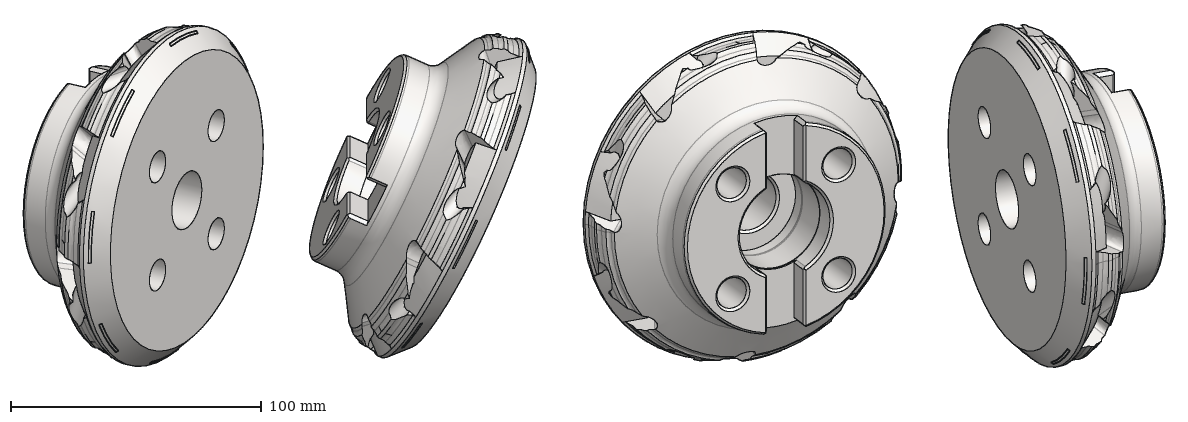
import cadquery as cq
import math

LENGTH = 50.2
RIM_RADIUS = 69.3
HUB_RADIUS = 90.0 / 2
HUB_CHAMFER = 1.0
HUB_TAPER_END = 1.8
HUB_TAPER_DROP = 0.21
HUB_LENGTH = 10.8
NECK_FILLET = 7.8
CONE_ANGLE = math.radians(58)
RIM_START = 40.5
RIM_END = 42.3

RIDGES = [
    (26.5, 63.2, 0),
    (27.6, 64.0, 0),
    (29.0, 65.7, 0.4),
    (30.9, 66.7, 0),
    (32.8, 67.9, 0.3),
    (34.5, 68.0, 0),
    (37.0, 68.0, 0.3),
    (39.2, 68.3, 0),
]

BORE_DIAMETER = 24.0
SEAT_DIAMETER = 40.0
SEAT_ENTRY_DIAMETER = 40.3
SEAT_ENTRY_DEPTH = 10.0
SEAT_DEPTH = 25.2
RELIEF_DIAMETER = 40.3
RELIEF_TAPER = 1.1
RELIEF_END = 31.9
BOLT_DIAMETER = 13.0
BOLT_OFFSET = 23.5
HOLE_CHAMFER = 1.04
SLOT_WIDTH = 16.2
SLOT_DEPTH = 9.0
SLOT_CHAMFER = 1.0
OUTER_CORNER_CHAMFER = 1.8
INNER_CORNER_CHAMFER = 0.5

POCKET_COUNT = 8
FLOOR_START = 32.8
POCKET_PLANE = 27.7
POCKET_START = 22.2
POCKET_TOP = 90.1
POCKET_SLANT_T = 0.36
POCKET_SLANT_R = -1.0

WALL_T = 0.8
CORNER_RADIUS = 4.3
CORNER_R = 62.4
CORNER_END_ANGLE = math.radians(-22)
RAMP_START = (10.8, 62.1)
RAMP_SLOPE = 0.85

SCALLOP_RADIUS = 3.7
SCALLOP_CENTRE = (33.5, 30.5, 60.4)
SCALLOP_DIRECTION = (-1.4, 4.1, 0)
SCALLOP_REACH = 16.6

WINDOW_START = 35.3
WINDOW_T = 19.4
WINDOW_BOTTOM = 52.7
WINDOW_END = (29.8, 56.8)
WINDOW_END_SLOPE = 1.0
WINDOW_SLANT_R = 1.1

RIB_START = 43.8
RIB_END = 44.6
RIB_HEIGHT = 0.35
RIB_ROOT = 1.4
RIB_FIRST_ANGLE = 29.0
RIB_SWEEP = 18.5


def local_point(x, t, r):
    """Point or direction given in the local axes of the first pocket."""
    return cq.Vector(x, -t, r)


def revolve_about_x(sketch, angle=360.0):
    return sketch.close().revolve(angle, (0, 0, 0), (1, 0, 0))


def turned_body():
    taper_radius = HUB_RADIUS - HUB_TAPER_DROP
    bend_x = HUB_LENGTH + NECK_FILLET * math.sin(CONE_ANGLE)
    bend_r = HUB_RADIUS + NECK_FILLET * (1 - math.cos(CONE_ANGLE))
    mid_x = HUB_LENGTH + NECK_FILLET * math.sin(CONE_ANGLE / 2)
    mid_r = HUB_RADIUS + NECK_FILLET * (1 - math.cos(CONE_ANGLE / 2))
    outline = (
        cq.Workplane("XY")
        .moveTo(0, 0)
        .lineTo(0, taper_radius - HUB_CHAMFER)
        .lineTo(HUB_CHAMFER, taper_radius)
        .lineTo(HUB_TAPER_END, HUB_RADIUS)
        .lineTo(HUB_LENGTH, HUB_RADIUS)
        .threePointArc((mid_x, mid_r), (bend_x, bend_r))
    )
    last_x, last_radius = bend_x, bend_r
    for x, radius, dish in RIDGES:
        if dish:
            dish_bottom = ((last_x + x) / 2, (last_radius + radius) / 2 - dish)
            outline = outline.threePointArc(dish_bottom, (x, radius))
        else:
            outline = outline.lineTo(x, radius)
        last_x, last_radius = x, radius
    outline = (
        outline.lineTo(RIM_START, RIM_RADIUS)
        .lineTo(RIM_END, RIM_RADIUS)
        .lineTo(LENGTH, RIM_RADIUS - (LENGTH - RIM_END))
        .lineTo(LENGTH, 0)
    )
    return revolve_about_x(outline)


def bore_cutter():
    bore = BORE_DIAMETER / 2
    entry = SEAT_ENTRY_DIAMETER / 2
    seat = SEAT_DIAMETER / 2
    relief = RELIEF_DIAMETER / 2
    outline = (
        cq.Workplane("XY")
        .moveTo(0, 0)
        .lineTo(0, entry + HOLE_CHAMFER)
        .lineTo(HOLE_CHAMFER, entry)
        .lineTo(SEAT_ENTRY_DEPTH, entry)
        .lineTo(SEAT_ENTRY_DEPTH, seat)
        .lineTo(SEAT_DEPTH, seat)
        .lineTo(SEAT_DEPTH + RELIEF_TAPER, relief)
        .lineTo(RELIEF_END, relief)
        .lineTo(RELIEF_END, bore + HOLE_CHAMFER)
        .lineTo(RELIEF_END + HOLE_CHAMFER, bore)
        .lineTo(LENGTH, bore)
        .lineTo(LENGTH, 0)
    )
    return revolve_about_x(outline)


def bolt_hole_cutter():
    radius = BOLT_DIAMETER / 2
    outline = (
        cq.Workplane("XY")
        .moveTo(0, 0)
        .lineTo(0, radius + HOLE_CHAMFER)
        .lineTo(HOLE_CHAMFER, radius)
        .lineTo(LENGTH, radius)
        .lineTo(LENGTH, 0)
    )
    hole = revolve_about_x(outline)
    cutter = cq.Workplane("XY")
    for y in (-BOLT_OFFSET, BOLT_OFFSET):
        for z in (-BOLT_OFFSET, BOLT_OFFSET):
            cutter = cutter.add(hole.translate((0, y, z)))
    return cutter.combine()


def slot_cutter():
    half = SLOT_WIDTH / 2
    slot = (
        cq.Workplane("XY")
        .moveTo(0, half + SLOT_CHAMFER)
        .lineTo(SLOT_CHAMFER, half)
        .lineTo(SLOT_DEPTH, half)
        .lineTo(SLOT_DEPTH, -half)
        .lineTo(SLOT_CHAMFER, -half)
        .lineTo(0, -half - SLOT_CHAMFER)
        .close()
        .extrude(HUB_RADIUS, both=True)
    )
    outer_z = math.sqrt(HUB_RADIUS ** 2 - half ** 2)
    inner_z = math.sqrt((SEAT_ENTRY_DIAMETER / 2) ** 2 - half ** 2)
    for side in (-1, 1):
        slot = slot.union(slot_flare(side * outer_z, side * OUTER_CORNER_CHAMFER))
        slot = slot.union(slot_flare(side * inner_z, -side * INNER_CORNER_CHAMFER))
    return slot


def slot_flare(corner_z, size):
    """Bevel of both slot edges at corner_z, opening in the direction of the sign of size."""
    half = SLOT_WIDTH / 2
    wide = half + 2 * abs(size)
    return (
        cq.Workplane("YZ")
        .moveTo(-half, corner_z - size)
        .lineTo(half, corner_z - size)
        .lineTo(wide, corner_z + size)
        .lineTo(-wide, corner_z + size)
        .close()
        .extrude(SLOT_DEPTH)
    )


def under_floor():
    """Ring of material kept below the conical pocket floor."""
    floor_radius = RIM_RADIUS - (RIM_START - FLOOR_START)
    outline = (
        cq.Workplane("XY")
        .moveTo(FLOOR_START, 0)
        .lineTo(FLOOR_START, floor_radius)
        .lineTo(RIM_START, RIM_RADIUS)
        .lineTo(RIM_START, POCKET_TOP)
        .lineTo(LENGTH, POCKET_TOP)
        .lineTo(LENGTH, 0)
    )
    return revolve_about_x(outline)


def pocket_prism():
    """Prism slanting inwards, with a flat wall, a rounded corner and a ramp."""
    back = POCKET_START - POCKET_PLANE
    depth = RIM_START - POCKET_START
    shift = local_point(POCKET_START, back * POCKET_SLANT_T, back * POCKET_SLANT_R)

    def place(t, r):
        return local_point(0, t, r) + shift

    centre_t = WALL_T + CORNER_RADIUS
    wall_top = place(WALL_T, POCKET_TOP)
    wall_foot = place(WALL_T, CORNER_R)
    corner_bottom = place(centre_t, CORNER_R - CORNER_RADIUS)
    corner_end = place(
        centre_t + CORNER_RADIUS * math.cos(CORNER_END_ANGLE),
        CORNER_R + CORNER_RADIUS * math.sin(CORNER_END_ANGLE),
    )
    ramp_start = place(*RAMP_START)
    ramp_top = place(RAMP_START[0] + (POCKET_TOP - RAMP_START[1]) / RAMP_SLOPE, POCKET_TOP)
    outline = cq.Wire.assembleEdges([
        cq.Edge.makeThreePointArc(wall_foot, corner_bottom, corner_end),
        cq.Edge.makeLine(corner_end, ramp_start),
        cq.Edge.makeLine(ramp_start, ramp_top),
        cq.Edge.makeLine(ramp_top, wall_top),
        cq.Edge.makeLine(wall_top, wall_foot),
    ])
    slant = local_point(depth, depth * POCKET_SLANT_T, depth * POCKET_SLANT_R)
    return cq.Workplane(cq.Solid.extrudeLinear(outline, [], slant))


def scallop():
    """Round gullet that runs sideways out of the pocket."""
    direction = local_point(*SCALLOP_DIRECTION).normalized()
    start = local_point(*SCALLOP_CENTRE) - direction * SCALLOP_REACH
    return cq.Workplane(cq.Solid.makeCylinder(SCALLOP_RADIUS, 2 * SCALLOP_REACH, start, direction))


def window():
    """Space above the floor between the ramp and the end wall of the pocket."""
    end_t, end_r = WINDOW_END
    corners = [
        (WINDOW_T, WINDOW_BOTTOM),
        (end_t + (WINDOW_BOTTOM - end_r) / WINDOW_END_SLOPE, WINDOW_BOTTOM),
        (end_t + (POCKET_TOP - end_r) / WINDOW_END_SLOPE, POCKET_TOP),
        (WINDOW_T, POCKET_TOP),
    ]
    outline = cq.Wire.makePolygon([local_point(WINDOW_START, t, r) for t, r in corners], close=True)
    depth = RIM_START - WINDOW_START
    slant = local_point(depth, 0, depth * WINDOW_SLANT_R)
    return cq.Workplane(cq.Solid.extrudeLinear(outline, [], slant))


def rib():
    """Low arc-shaped rib on the end cone, with its root sunk into the body."""
    start_radius = RIM_RADIUS - (RIB_START - RIM_END)
    end_radius = RIM_RADIUS - (RIB_END - RIM_END)
    outline = (
        cq.Workplane("XY")
        .moveTo(RIB_START, start_radius - RIB_ROOT)
        .lineTo(RIB_START, start_radius + RIB_HEIGHT)
        .lineTo(RIB_END, end_radius + RIB_HEIGHT)
        .lineTo(RIB_END, end_radius - RIB_ROOT)
    )
    turned = revolve_about_x(outline, RIB_SWEEP)
    return turned.rotate((0, 0, 0), (1, 0, 0), 90 + RIB_FIRST_ANGLE)


result = turned_body().cut(bore_cutter()).cut(bolt_hole_cutter()).cut(slot_cutter())

pocket = pocket_prism().union(scallop()).union(window()).cut(under_floor())
land_rib = rib()
for index in range(POCKET_COUNT):
    turn = index * 360 / POCKET_COUNT
    result = result.cut(pocket.rotate((0, 0, 0), (1, 0, 0), turn), clean=False)
    result = result.union(land_rib.rotate((0, 0, 0), (1, 0, 0), turn), clean=False)